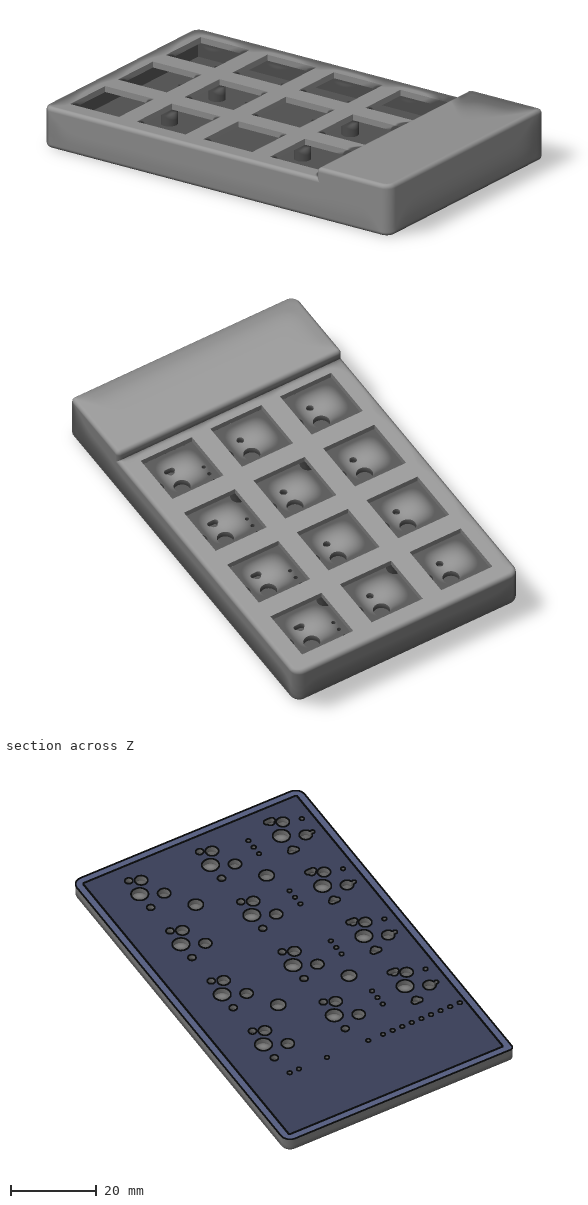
import cadquery as cq
length = 99.3
width = 61.4
height = 12.8
key_deck_z = 10.2
step_x = 78.4
corner_radius = 2.5
small_corner_radius = 1.0
edge_radius = 1.0

bottom_thickness = 2.0
wall = 2.0
deck_thickness = 1.5

board_top_z = 3.9
board_thickness = 1.6

key_pitch = 19.1
key_columns = 4
key_rows = 3
first_key_x = 11.6
key_opening = 14.0

post_diameter = 4.0
post_hole_diameter = 3.5

stem_hole_diameter = 4.0
contact_hole_diameter = 3.0
contact_hole_points = [(-3.8, 2.6), (2.6, 5.1)]
peg_hole_diameter = 1.8
peg_offset = 5.1

pin_hole_diameter = 1.0
encoder_pin_spacing = 2.5
encoder_switch_pin_y = 6.95
encoder_signal_pin_y = -7.4
encoder_slot_x = 5.6
encoder_slot_width = 1.5
encoder_slot_length = 2.8

header_x = 79.9
header_first_y = 58.0
header_pitch = 2.6
header_pins = 9
extra_pin_ys = [33.4, 22.2, 14.7, 12.2]

first_key_y = width / 2 - key_pitch * (key_rows - 1) / 2
board_bottom_z = board_top_z - board_thickness
key_xs = [first_key_x + column * key_pitch for column in range(key_columns)]
key_ys = [first_key_y + row * key_pitch for row in range(key_rows)]
key_centres = [(x, y) for x in key_xs for y in key_ys]
encoder_centres = [(x, key_ys[-1]) for x in key_xs]
post_points = [
    (key_xs[column] + key_pitch / 2, key_ys[row] + key_pitch / 2)
    for column in (0, 2)
    for row in (0, 1)
]


def block(x_min, x_max, y_min, y_max, z_min, z_max):
    """Box given by its limits along each axis."""
    size = (x_max - x_min, y_max - y_min, z_max - z_min)
    return cq.Workplane("XY").box(*size, centered=False).translate((x_min, y_min, z_min))


def outer_block(z_min, z_max):
    """Block with the outer outline, one corner rounded less than the others."""
    body = block(0, length, 0, width, z_min, z_max)
    body = body.edges("|Z and (<X or <Y)").fillet(corner_radius)
    return body.edges("|Z and >X and >Y").fillet(small_corner_radius)


def shifted(centres, offset_x, offset_y):
    """The same offset applied to every centre."""
    return [(x + offset_x, y + offset_y) for x, y in centres]


def rounded_upper_edges(body):
    """Round the deck edges, the raised end and its step, but not the inner corner below the step."""
    above_deck = cq.selectors.BoxSelector(
        (-1, -1, key_deck_z - 0.1), (length + 1, width + 1, height + 1)
    )
    step_corner = cq.selectors.BoxSelector(
        (step_x - 0.1, -1, key_deck_z - 0.1), (step_x + 0.1, width + 1, key_deck_z + 0.1)
    )
    return body.edges(above_deck - step_corner).fillet(edge_radius)


def make_case():
    """Stepped shell, open below, with the key openings and the posts that hold the board down."""
    body = outer_block(bottom_thickness, height)
    body = body.cut(block(-1, step_x, -1, width + 1, key_deck_z, height + 1))
    body = rounded_upper_edges(body)
    inner_y = (wall, width - wall)
    deck_underside_z = key_deck_z - deck_thickness
    body = body.cut(block(wall, length - wall, *inner_y, bottom_thickness, deck_underside_z))
    body = body.cut(
        block(step_x + wall, length - wall, *inner_y, bottom_thickness, height - deck_thickness)
    )
    openings = (
        cq.Workplane("XY", origin=(0, 0, deck_underside_z))
        .pushPoints(key_centres)
        .rect(key_opening, key_opening)
        .extrude(deck_thickness)
    )
    posts = (
        cq.Workplane("XY", origin=(0, 0, board_top_z))
        .pushPoints(post_points)
        .circle(post_diameter / 2)
        .extrude(deck_underside_z - board_top_z)
    )
    return body.cut(openings).union(posts)


def make_bottom():
    """Flat cover with a rounded lower edge."""
    return outer_block(0, bottom_thickness).faces("<Z").edges().fillet(edge_radius)


def board_holes(points, diameter):
    """Cylinders through the board at the points."""
    return (
        cq.Workplane("XY", origin=(0, 0, board_bottom_z))
        .pushPoints(points)
        .circle(diameter / 2)
        .extrude(board_thickness)
    )


def encoder_slots():
    """Mounting slots on both sides of each encoder."""
    points = [
        point for side in (-1, 1) for point in shifted(encoder_centres, side * encoder_slot_x, 0)
    ]
    return (
        cq.Workplane("XY", origin=(0, 0, board_bottom_z))
        .pushPoints(points)
        .slot2D(encoder_slot_length, encoder_slot_width, 90)
        .extrude(board_thickness)
    )


def make_board():
    """Circuit board that fills the case between its walls, drilled for keys, encoders and pins."""
    board = block(wall, length - wall, wall, width - wall, board_bottom_z, board_top_z)

    board = board.cut(board_holes(key_centres, stem_hole_diameter))
    for offset in contact_hole_points:
        board = board.cut(board_holes(shifted(key_centres, *offset), contact_hole_diameter))
    for side in (-1, 1):
        board = board.cut(board_holes(shifted(key_centres, side * peg_offset, 0), peg_hole_diameter))

    board = board.cut(encoder_slots())
    encoder_pins = [(side * encoder_pin_spacing, encoder_switch_pin_y) for side in (-1, 1)]
    encoder_pins += [(side * encoder_pin_spacing, encoder_signal_pin_y) for side in (-1, 0, 1)]
    for offset in encoder_pins:
        board = board.cut(board_holes(shifted(encoder_centres, *offset), pin_hole_diameter))

    header_ys = [header_first_y - pin * header_pitch for pin in range(header_pins)]
    pin_points = [(header_x, y) for y in header_ys + extra_pin_ys]
    board = board.cut(board_holes(pin_points, pin_hole_diameter))
    return board.cut(board_holes(post_points, post_hole_diameter))


case = make_case()
bottom = make_bottom()
board = make_board()

result = cq.Compound.makeCompound([case.val(), bottom.val(), board.val()])